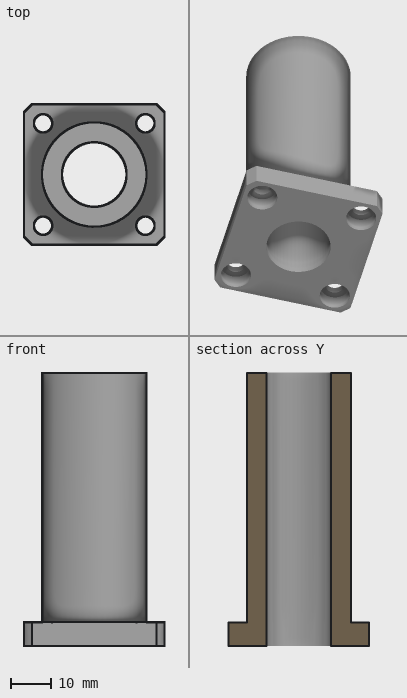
import cadquery as cq
import math

total_height = 68.0
sleeve_diameter = 26.0
bore_diameter = 16.0
flange_side = 35.0
flange_thickness = 6.0
corner_chamfer = 2.0
bolt_circle_diameter = 36.0
bolt_spacing = bolt_circle_diameter / math.sqrt(2)
bolt_hole_diameter = 4.5
counterbore_diameter = 7.5
counterbore_depth = 4.1


def make_flange():
    """Square plate with its bottom face on Z = 0 and chamfered vertical corners."""
    plate = cq.Workplane("XY").box(
        flange_side, flange_side, flange_thickness, centered=(True, True, False)
    )
    return plate.edges("|Z").chamfer(corner_chamfer)


def make_sleeve():
    """Round sleeve over the full height, standing on the flange's bottom plane."""
    return cq.Workplane("XY").circle(sleeve_diameter / 2).extrude(total_height)


def cut_bore(body):
    """Cut the central bore through the whole height."""
    bore = cq.Workplane("XY").circle(bore_diameter / 2).extrude(total_height)
    return body.cut(bore)


def cut_bolt_holes(body):
    """Cut four bolt holes through the flange, counterbored from its bottom face."""
    corners = cq.Workplane("XY").rect(bolt_spacing, bolt_spacing, forConstruction=True).vertices()
    holes = corners.circle(bolt_hole_diameter / 2).extrude(flange_thickness)
    counterbores = corners.circle(counterbore_diameter / 2).extrude(counterbore_depth)
    return body.cut(holes).cut(counterbores)


result = make_flange().union(make_sleeve())
result = cut_bore(result)
result = cut_bolt_holes(result)